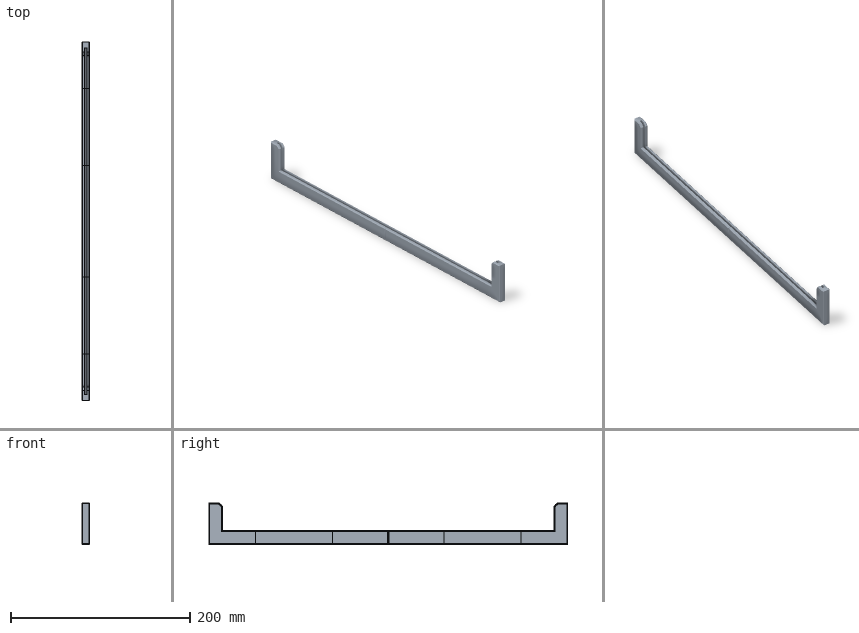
import cadquery as cq

LENGTH = 400.0
WIDTH = 9.0
HEIGHT = 46.0

BAR = 15.2
SIDE_CHAMFER = 1.0
TIP_CHAMFER = 3.5

SLOT_DEPTH = 8.5
SLOT_MOUTH = 2.5
SLOT_FLOOR = 3.0

BASE_THICKNESS = 1.0
TONGUE_INNER = 62.5
TONGUE_OUTER = 148.0

HALF_LENGTH = LENGTH / 2
HALF_WIDTH = WIDTH / 2
LEG_INNER = HALF_LENGTH - BAR
SLOT_BOTTOM = BAR - SLOT_DEPTH
SLOT_END = HALF_LENGTH - SLOT_BOTTOM
MARGIN = 4.0


def block(y_from, y_to, z_from, z_to):
    """Box wider than the rail, used to pick out one stretch of it."""
    return (
        cq.Workplane("XY")
        .box(WIDTH + 2 * MARGIN, y_to - y_from, z_to - z_from)
        .translate((0, (y_from + y_to) / 2, (z_from + z_to) / 2))
    )


def side_prism(points, half_width):
    """Closed Y-Z outline extruded to both sides of the middle plane."""
    return cq.Workplane("YZ").polyline(points).close().extrude(half_width, both=True)


def rail_blank():
    """U-shaped rail with chamfered side faces, before the slot is cut."""
    outline = [
        (-HALF_LENGTH, 0),
        (HALF_LENGTH, 0),
        (HALF_LENGTH, HEIGHT),
        (LEG_INNER + TIP_CHAMFER, HEIGHT),
        (LEG_INNER, HEIGHT - TIP_CHAMFER),
        (LEG_INNER, BAR),
        (-LEG_INNER, BAR),
        (-LEG_INNER, HEIGHT - TIP_CHAMFER),
        (-LEG_INNER - TIP_CHAMFER, HEIGHT),
        (-HALF_LENGTH, HEIGHT),
    ]
    return side_prism(outline, HALF_WIDTH).faces("<X or >X").chamfer(SIDE_CHAMFER)


def slot_profile(plane, floor, inward):
    """Dovetail cross-section, extended past the mouth at the same slope."""
    reach = SLOT_DEPTH + MARGIN
    floor_half = SLOT_FLOOR / 2
    slope = (SLOT_FLOOR - SLOT_MOUTH) / 2 / SLOT_DEPTH
    outer_half = floor_half - slope * reach
    outer = floor + inward * reach
    corners = [(-floor_half, floor), (floor_half, floor), (outer_half, outer), (-outer_half, outer)]
    return plane.polyline(corners).close()


def cut_slot(rail):
    """Cut the slot along the bar and both legs, mitred at the corners."""
    reach = SLOT_DEPTH + MARGIN
    mitre_y = SLOT_END - reach
    mitre_z = SLOT_BOTTOM + reach
    top = HEIGHT + MARGIN

    bar_zone = side_prism(
        [(-SLOT_END, SLOT_BOTTOM), (SLOT_END, SLOT_BOTTOM), (mitre_y, mitre_z), (-mitre_y, mitre_z)],
        HALF_WIDTH,
    )
    bar_plane = cq.Workplane("XZ")
    bar_slot = slot_profile(bar_plane, SLOT_BOTTOM, 1).extrude(SLOT_END, both=True).intersect(bar_zone)
    rail = rail.cut(bar_slot)

    for side in (-1, 1):
        leg_zone = side_prism(
            [
                (side * SLOT_END, SLOT_BOTTOM),
                (side * SLOT_END, top),
                (side * mitre_y, top),
                (side * mitre_y, mitre_z),
            ],
            HALF_WIDTH,
        )
        leg_plane = cq.Workplane("XY").workplane(offset=SLOT_BOTTOM)
        leg_slot = slot_profile(leg_plane, side * SLOT_END, -side).extrude(top - SLOT_BOTTOM)
        rail = rail.cut(leg_slot.intersect(leg_zone))
    return rail


def cut_middle_notches(body):
    """V-notch across each side face at the middle of the rail."""
    for side in (-1, 1):
        notch = (
            cq.Workplane("XY")
            .polyline([
                (side * HALF_WIDTH, -SIDE_CHAMFER),
                (side * HALF_WIDTH, SIDE_CHAMFER),
                (side * (HALF_WIDTH - SIDE_CHAMFER), 0),
            ])
            .close()
            .extrude(BAR)
        )
        body = body.cut(notch)
    return body


def make_base(rail):
    """Bottom strip with two tongues that rise between the other bodies."""
    base = rail.intersect(block(-HALF_LENGTH, HALF_LENGTH, 0, BASE_THICKNESS))
    for start in (-TONGUE_OUTER, TONGUE_INNER):
        end = start + TONGUE_OUTER - TONGUE_INNER
        base = base.union(rail.intersect(block(start, end, 0, BAR)))
    return base


def make_center(rail):
    """Middle stretch of the bar, between the tongues."""
    center = rail.intersect(block(-TONGUE_INNER, TONGUE_INNER, BASE_THICKNESS, BAR))
    return cut_middle_notches(center)


def make_end(rail, side):
    """L-shaped end with its leg, on the side of Y given by the sign."""
    y_from, y_to = sorted((side * TONGUE_OUTER, side * HALF_LENGTH))
    return rail.intersect(block(y_from, y_to, BASE_THICKNESS, HEIGHT))


rail = cut_slot(rail_blank())
base = make_base(rail)
center = make_center(rail)
ends = [make_end(rail, side) for side in (-1, 1)]

bodies = [base, center, *ends]
result = cq.Compound.makeCompound([body.solids().val() for body in bodies])